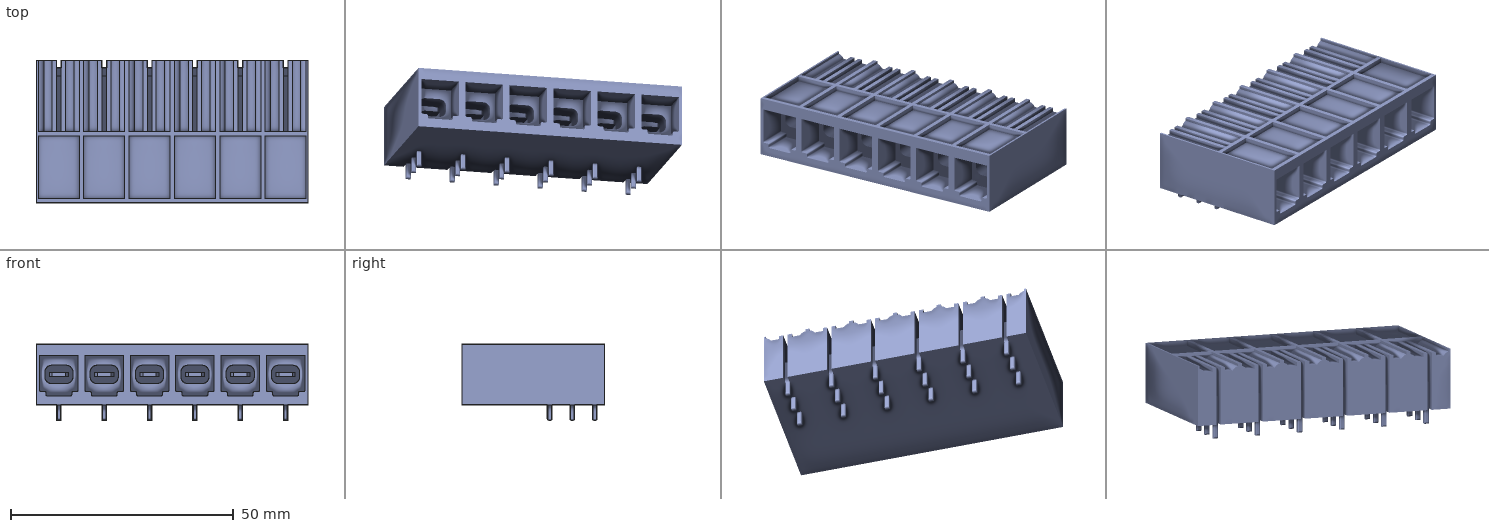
import cadquery as cq
import math

LENGTH = 60.95
DEPTH = 32.0
HEIGHT = 13.65
POLE_COUNT = 6
PITCH = 10.2
CONTACT_Z = HEIGHT / 2
OVERSHOOT = 0.6

CAVITY_WIDTH = 8.65
CAVITY_DEPTH = 7.3
CAVITY_CEILING = 11.1
SHOULDER_Z = 3.0
FLOOR_CHANNEL_Z = 2.0
FLOOR_CHANNEL_WIDTH = 5.8
FLOOR_EDGE_RADIUS = 0.3

SOCKET_WIDTH = 6.35
SOCKET_HEIGHT = 4.15
SOCKET_CORNER_RADIUS = 1.6
SOCKET_END_Y = 13.4

RECESS_WIDTH = 9.2
FRONT_WALL = 1.0
CROSS_WALL_FRONT_Y = 15.05
CROSS_WALL_BACK_Y = 16.05
FRONT_RECESS_DEPTH = 1.15
REAR_RECESS_DEPTH = 1.5
BEAD_WIDTH = 1.2
BEAD_HEIGHT = 0.9
BEAD_TOP_SLOPE = 12.0
RIB_WIDTH = 1.0
RIB_DROP = 0.6

SPINE_THICKNESS = 1.05
SPINE_END_Y = DEPTH - 1.65
SPINE_STEP_Y = DEPTH - 3.55
SPINE_STEP_HEIGHT = 1.2
BLADE_WIDTH = 4.3
BLADE_THICKNESS = 1.0
BLADE_TIP_Y = 8.55
BLADE_TIP_TAPER_X = 0.7
BLADE_TIP_TAPER_Y = 1.0
LEG_COUNT = 3
LEG_WIDTH = 1.1
LEG_PITCH = 5.05
LEG_LENGTH = 3.5
LEG_TIP_RADIUS = 0.5
LEG_EDGE_CHAMFER = 0.15

POLE_XS = [LENGTH / 2 + (i - (POLE_COUNT - 1) / 2) * PITCH for i in range(POLE_COUNT)]


def box(x_center, width, y_start, y_end, z_bottom, z_top):
    """Box centred on x_center and bounded by the given Y and Z limits."""
    corner = (x_center - width / 2, y_start, z_bottom)
    return cq.Workplane("XY").box(width, y_end - y_start, z_top - z_bottom, centered=False).translate(corner)


def plug_cavity(x):
    """Front opening whose floor has a lower channel along the middle, with rounded floor edges."""
    chamber = box(x, CAVITY_WIDTH, -OVERSHOOT, CAVITY_DEPTH, SHOULDER_Z, CAVITY_CEILING)
    channel = box(x, FLOOR_CHANNEL_WIDTH, -OVERSHOOT, CAVITY_DEPTH, FLOOR_CHANNEL_Z, CAVITY_CEILING)
    middle_z = (SHOULDER_Z + CAVITY_CEILING) / 2
    floor_zone = cq.selectors.BoxSelector(
        (x - CAVITY_WIDTH, -2 * OVERSHOOT, 0), (x + CAVITY_WIDTH, DEPTH, middle_z)
    )
    return chamber.union(channel).edges("|Y").edges(floor_zone).fillet(FLOOR_EDGE_RADIUS)


def contact_socket(x):
    """Rounded pocket running back from the cavity around the blade."""
    socket = box(
        x, SOCKET_WIDTH, CAVITY_DEPTH - OVERSHOOT, SOCKET_END_Y,
        CONTACT_Z - SOCKET_HEIGHT / 2, CONTACT_Z + SOCKET_HEIGHT / 2,
    )
    return socket.edges("|Y").fillet(SOCKET_CORNER_RADIUS)


def front_recess(x):
    """Shallow top recess over the cavity, closed on all four sides."""
    floor_z = HEIGHT - FRONT_RECESS_DEPTH
    return box(x, RECESS_WIDTH, FRONT_WALL, CROSS_WALL_FRONT_Y, floor_z, HEIGHT + OVERSHOOT)


def rear_recess(x):
    """Top recess open at the back, with a rounded bead along each side and two ribs beside the slot."""
    floor_z = HEIGHT - REAR_RECESS_DEPTH
    bead_z = floor_z + BEAD_HEIGHT
    wall_x = RECESS_WIDTH / 2
    bead_x = wall_x - BEAD_WIDTH
    chord_angle = math.atan2(BEAD_HEIGHT, BEAD_WIDTH)
    half_sweep = chord_angle - math.radians(BEAD_TOP_SLOPE)
    bulge = math.hypot(BEAD_WIDTH, BEAD_HEIGHT) / 2 * math.tan(half_sweep / 2)
    bead_mid_x = (bead_x + wall_x) / 2 - bulge * math.sin(chord_angle)
    bead_mid_z = (floor_z + bead_z) / 2 + bulge * math.cos(chord_angle)
    length = DEPTH + OVERSHOOT - CROSS_WALL_BACK_Y
    recess = (
        cq.Workplane("XZ", origin=(x, DEPTH + OVERSHOOT, 0))
        .moveTo(-wall_x, HEIGHT)
        .lineTo(-wall_x, bead_z)
        .threePointArc((-bead_mid_x, bead_mid_z), (-bead_x, floor_z))
        .lineTo(bead_x, floor_z)
        .threePointArc((bead_mid_x, bead_mid_z), (wall_x, bead_z))
        .lineTo(wall_x, HEIGHT)
        .close()
        .extrude(length)
    )
    for side in (-1, 1):
        rib_x = x + side * (SPINE_THICKNESS + RIB_WIDTH) / 2
        rib = box(rib_x, RIB_WIDTH, CROSS_WALL_BACK_Y, DEPTH + OVERSHOOT, floor_z, HEIGHT - RIB_DROP)
        recess = recess.cut(rib)
    return recess


def contact_slot(x):
    """Slot for the spine, through the full height and open at the back."""
    return box(x, SPINE_THICKNESS, CROSS_WALL_BACK_Y, DEPTH + OVERSHOOT, -OVERSHOOT, HEIGHT + OVERSHOOT)


def contact_blade(x):
    """Flat blade with both sides of its tip bevelled, running back to the spine."""
    half = BLADE_WIDTH / 2
    tip_half = half - BLADE_TIP_TAPER_X
    shoulder_y = BLADE_TIP_Y + BLADE_TIP_TAPER_Y
    outline = [
        (x - tip_half, BLADE_TIP_Y),
        (x + tip_half, BLADE_TIP_Y),
        (x + half, shoulder_y),
        (x + half, CROSS_WALL_BACK_Y),
        (x - half, CROSS_WALL_BACK_Y),
        (x - half, shoulder_y),
    ]
    bottom_z = CONTACT_Z - BLADE_THICKNESS / 2
    return cq.Workplane("XY", origin=(0, 0, bottom_z)).polyline(outline).close().extrude(BLADE_THICKNESS)


def contact_spine(x):
    """Upright plate filling the lower part of the slot, stepped down at its back end."""
    top_z = CONTACT_Z + BLADE_THICKNESS / 2
    spine = box(x, SPINE_THICKNESS, CROSS_WALL_BACK_Y, SPINE_END_Y, 0, top_z)
    step = box(x, SPINE_THICKNESS, SPINE_STEP_Y, SPINE_END_Y, top_z - SPINE_STEP_HEIGHT, top_z)
    return spine.cut(step)


def solder_leg(x, back_y):
    """Leg below the housing, bevelled along its corners and rounded at its tip from front to back."""
    blank = box(x, SPINE_THICKNESS, back_y - LEG_WIDTH, back_y, -LEG_LENGTH, 0)
    round_tipped = blank.faces("<Z").edges("|X").fillet(LEG_TIP_RADIUS)
    bevelled = blank.edges("|Z").chamfer(LEG_EDGE_CHAMFER)
    return round_tipped.intersect(bevelled)


def make_contact(x):
    contact = contact_spine(x).union(contact_blade(x))
    for i in range(LEG_COUNT):
        contact = contact.union(solder_leg(x, SPINE_END_Y - i * LEG_PITCH))
    return contact


def make_housing():
    housing = box(LENGTH / 2, LENGTH, 0, DEPTH, 0, HEIGHT)
    for x in POLE_XS:
        for opening in (plug_cavity, contact_socket, front_recess, rear_recess, contact_slot, contact_blade):
            housing = housing.cut(opening(x))
    return housing


housing = make_housing()
contacts = [make_contact(x) for x in POLE_XS]

result = cq.Compound.makeCompound([housing.val(), *[contact.val() for contact in contacts]])